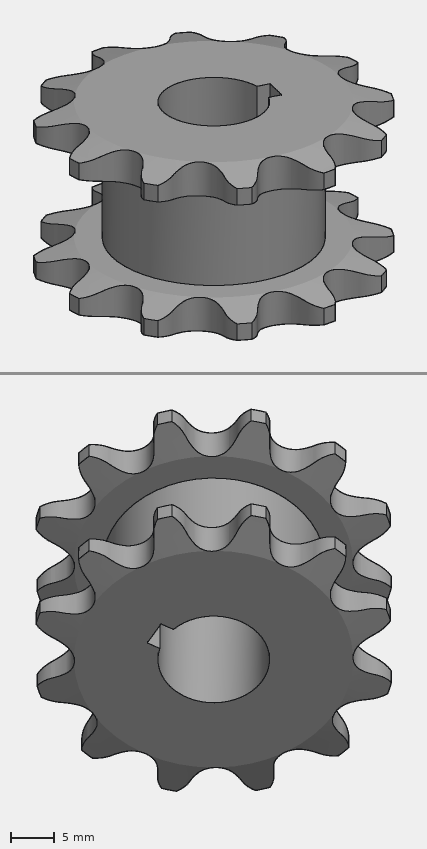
import cadquery as cq
import math


tooth_count = 12
pitch_diameter = 36.83
roller_diameter = 5.08
seating_clearance = 0.07
cutter_overshoot = 4.03

plate_thickness = 4.27
overall_length = 21.35
hub_diameter = 25.4
tip_thickness = 2.1
flat_face_diameter = 31.75

bore_diameter = 12.7
keyway_width = 3.2
keyway_top = 7.78

half_tooth_angle = math.pi / tooth_count
pitch_radius = pitch_diameter / 2
chain_pitch = pitch_diameter * math.sin(half_tooth_angle)
tip_radius = chain_pitch * (0.6 + 1 / math.tan(half_tooth_angle)) / 2
seating_radius = (roller_diameter + seating_clearance) / 2
seating_angle = math.radians(35 + 60 / tooth_count)
working_angle = math.radians(18 - 56 / tooth_count)
working_offset = 0.8 * roller_diameter
topping_offset = 1.4 * roller_diameter


def polar(center, radius, angle):
    """Point at a given distance and angle (radians) from a center."""
    return (center[0] + radius * math.cos(angle), center[1] + radius * math.sin(angle))


def mirrored(point):
    """Point reflected across the gap centerline (the Y axis)."""
    return (-point[0], point[1])


def gap_cutter():
    """Prism filling one gap centered on +Y, its sides shaped as tooth flanks."""
    seat_center = (0, pitch_radius)
    working_center = polar(seat_center, working_offset, seating_angle)
    working_radius = seating_radius + working_offset
    working_start_angle = math.pi + seating_angle
    working_end_angle = working_start_angle - working_angle

    seat_bottom = (0, pitch_radius - seating_radius)
    seat_end = polar(seat_center, seating_radius, working_start_angle)
    working_middle = polar(working_center, working_radius, working_start_angle - working_angle / 2)
    working_end = polar(working_center, working_radius, working_end_angle)

    chord_angle = math.pi + half_tooth_angle
    topping_center = polar(seat_center, topping_offset, chord_angle)
    topping_radius = (
        (topping_center[0] - working_end[0]) * math.cos(working_end_angle)
        + (topping_center[1] - working_end[1]) * math.sin(working_end_angle)
    )
    topping_start_angle = working_end_angle - math.pi
    topping_start = polar(topping_center, topping_radius, topping_start_angle)

    past_centerline = topping_offset - chain_pitch / 2
    topping_end_angle = half_tooth_angle + math.acos(past_centerline / topping_radius)
    topping_middle = polar(topping_center, topping_radius, (topping_start_angle + topping_end_angle) / 2)
    topping_end = polar(topping_center, topping_radius, topping_end_angle)

    return (
        cq.Workplane("XY")
        .moveTo(*topping_end)
        .threePointArc(topping_middle, topping_start)
        .lineTo(*working_end)
        .threePointArc(working_middle, seat_end)
        .threePointArc(seat_bottom, mirrored(seat_end))
        .threePointArc(mirrored(working_middle), mirrored(working_end))
        .lineTo(*mirrored(topping_start))
        .threePointArc(mirrored(topping_middle), mirrored(topping_end))
        .lineTo(0, tip_radius + cutter_overshoot)
        .close()
        .extrude(plate_thickness)
    )


def toothed_plate():
    """One plate with its bottom face on Z = 0, both faces sloping down toward the tooth tips."""
    face_radius = flat_face_diameter / 2
    tip_bottom = (plate_thickness - tip_thickness) / 2
    plate = (
        cq.Workplane("XZ")
        .polyline([
            (0, 0),
            (face_radius, 0),
            (tip_radius, tip_bottom),
            (tip_radius, tip_bottom + tip_thickness),
            (face_radius, plate_thickness),
            (0, plate_thickness),
        ])
        .close()
        .revolve(360, (0, 0, 0), (0, 1, 0))
    )
    cutter = gap_cutter()
    for index in range(tooth_count):
        plate = plate.cut(cutter.rotate((0, 0, 0), (0, 0, 1), index * 360 / tooth_count))
    return plate


def bore_cutter():
    """Through bore with a keyway on the +Y side."""
    bore = cq.Workplane("XY").circle(bore_diameter / 2).extrude(overall_length)
    keyway = (
        cq.Workplane("XY")
        .center(0, keyway_top / 2)
        .rect(keyway_width, keyway_top)
        .extrude(overall_length)
    )
    return bore.union(keyway)


plate = toothed_plate()
upper_plate = plate.translate((0, 0, overall_length - plate_thickness))
hub = cq.Workplane("XY").circle(hub_diameter / 2).extrude(overall_length)
sprocket = hub.union(plate).union(upper_plate).cut(bore_cutter())
result = sprocket.translate((0, 0, -overall_length / 2))